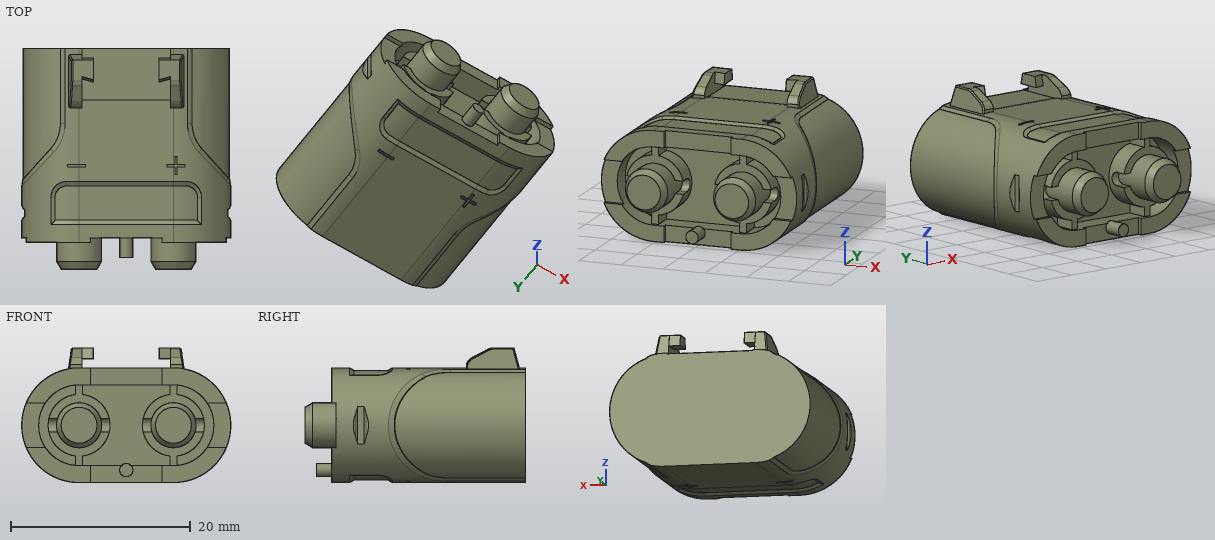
import cadquery as cq
import math

TOLERANCE = 0.005
BEVEL_SHARE = 0.95
RIB_OVERLAP = 0.12

HALF_SPACING = 5.252
BODY_RADIUS = 6.4
BODY_LENGTH = 21.6

NOTCH_DEPTH = 0.5
TOP_NOTCH_HALF_WIDTH = 3.99
SIDE_NOTCH_HALF_HEIGHT = 2.48
CAVITY_RADIUS = 4.5
CAVITY_DEPTH = 3.0

SLEEVE_RADIUS = 3.45
RIB_WIDTH = 0.8
SLOT_WIDTH = 1.53
SLOT_DEPTH = 1.97
PIN_RADIUS = 2.5
PIN_REACH = 3.0
PIN_TIP_LENGTH = 0.89
PIN_TIP_INSET = 0.52
POST_RADIUS = 0.75
POST_REACH = 1.7
POST_Z = -5.0

GRIP_DEPTH = 0.17
GRIP_BEVEL = 0.55
GRIP_FLOOR_X = 7.33
GRIP_CORNER_Y = 11.64
GRIP_SLANT = 48
GRIP_BEND_RADIUS = 4.18

PANEL_DEPTH = 0.3
PANEL_HALF_WIDTH = 7.95
PANEL_FRONT_Y = 2.45
PANEL_BACK_Y = 6.27
PANEL_CORNER_RADIUS = 1.3
PANEL_BEVEL = 0.5

GROOVE_Y = 3.25
GROOVE_DEPTH = 0.35
GROOVE_FLOOR_WIDTH = 0.71
GROOVE_SHOULDER_DEPTH = 0.12
GROOVE_SHOULDER_WIDTH = 1.18
GROOVE_MOUTH_WIDTH = 1.7

MARK_X = 5.54
MARK_Y = 8.54
MARK_LENGTH = 2.0
MARK_WIDTH = 0.27
MARK_DEPTH = 0.1

LATCH_TOP_Z = 8.6
LATCH_INNER_X = 4.92
LATCH_ROOT_X = 6.5
LATCH_TOP_X = 6.1
LATCH_ROOT_Z = 5.9
LATCH_BEVEL = 0.15
LATCH_BACK_Y = 20.89
LATCH_TOP_BACK_Y = 20.3
LATCH_TOP_FRONT_Y = 17.69
LATCH_NOSE_Y = 15.65
LATCH_NOSE_Z = 7.55
LATCH_NOSE_MIDDLE = (15.25, 7.23)
LATCH_TOE_Z = 6.75
LATCH_FRONT_Y = 14.98
LATCH_BEND_RADIUS = 1.23
HOOK_TIP_X = 3.67
HOOK_HEIGHT = 1.23
HOOK_FRONT_Y = 17.84
HOOK_ROOT_Y = 18.18
HOOK_BACK_Y = 20.55
HOOK_LEAN = 0.27

STEP_Y = 15.87
STEP_DEPTH = 0.1


def stadium(radius, y_start, y_end):
    """Solid with a stadium section around both pin axes, from y_start to y_end."""
    return (
        cq.Workplane("XZ", origin=(0, y_start, 0))
        .slot2D(2 * (HALF_SPACING + radius), 2 * radius)
        .extrude(y_start - y_end)
    )


def rod(x, z, radius, y_start, y_end):
    return cq.Workplane("XZ", origin=(x, y_start, z)).circle(radius).extrude(y_start - y_end)


def box(x_size, y_start, y_end, z_size):
    return cq.Workplane("XY").box(x_size, y_end - y_start, z_size).translate((0, (y_start + y_end) / 2, 0))


def both_sides(solid):
    return solid.union(solid.mirror("YZ"))


def skin(depth):
    """Shell just under the housing surface, reaching well outside it."""
    outside = box(4 * BODY_RADIUS + 2 * HALF_SPACING, -0.25, BODY_LENGTH + 0.25, 4 * BODY_RADIUS)
    return outside.cut(stadium(BODY_RADIUS - depth, -0.5, BODY_LENGTH + 0.5))


def bevel_rim(solid, in_recess, width, depth):
    """Bevel the rim of a surface recess: width across the surface, depth down its wall.

    The rim is made of the edges on the housing surface whose centres satisfy in_recess.
    """
    def on_surface(edge):
        point = edge.positionAt(0.3)
        from_straight = max(abs(point.x) - HALF_SPACING, 0)
        return abs(math.hypot(from_straight, point.z) - BODY_RADIUS) < TOLERANCE

    rim = [edge for edge in solid.edges().vals() if in_recess(edge.Center()) and on_surface(edge)]
    return solid.newObject(rim).chamfer(width, depth)


def grip_outline():
    """Right-hand grip floor seen from above: straight, a bend, then slanting out to the side."""
    slant = math.radians(GRIP_SLANT)
    tangent = GRIP_BEND_RADIUS * math.tan(math.radians(90 - GRIP_SLANT) / 2)
    bend_start = (GRIP_FLOOR_X, GRIP_CORNER_Y + tangent)
    bend_end = (GRIP_FLOOR_X + tangent * math.cos(slant), GRIP_CORNER_Y - tangent * math.sin(slant))
    far_x = HALF_SPACING + 1.5 * BODY_RADIUS
    far_y = GRIP_CORNER_Y - (far_x - GRIP_FLOOR_X) * math.tan(slant)
    return (
        cq.Workplane("XY", origin=(0, 0, -2 * BODY_RADIUS))
        .moveTo(GRIP_FLOOR_X, BODY_LENGTH + 0.25)
        .lineTo(*bend_start)
        .radiusArc(bend_end, -GRIP_BEND_RADIUS)
        .lineTo(far_x, far_y)
        .lineTo(far_x, BODY_LENGTH + 0.25)
        .close()
        .extrude(4 * BODY_RADIUS)
    )


def panel_outline():
    """Label panel floor on the top, with the two rear corners rounded."""
    length = PANEL_BACK_Y - PANEL_FRONT_Y
    return (
        cq.Workplane("XY")
        .box(2 * PANEL_HALF_WIDTH, length, 2 * BODY_RADIUS, centered=(True, False, False))
        .edges("|Z and >Y")
        .fillet(PANEL_CORNER_RADIUS)
        .translate((0, PANEL_FRONT_Y, 0))
    )


def groove():
    """Groove across the right-hand rounded side, its steep walls opening out at the mouth."""
    outline = [
        (-GROOVE_DEPTH, GROOVE_FLOOR_WIDTH / 2),
        (-GROOVE_SHOULDER_DEPTH, GROOVE_SHOULDER_WIDTH / 2),
        (0, GROOVE_MOUTH_WIDTH / 2),
        (0.25, GROOVE_MOUTH_WIDTH / 2),
    ]
    mirrored = [(x, -y) for x, y in reversed(outline)]
    return (
        cq.Workplane("XY", origin=(HALF_SPACING + BODY_RADIUS, GROOVE_Y, -BODY_RADIUS))
        .polyline(outline + mirrored)
        .close()
        .extrude(2 * BODY_RADIUS)
    )


def polarity_marks():
    """A minus on the left and a plus on the right, standing through the whole height."""
    height = 4 * BODY_RADIUS
    bars = cq.Workplane("XY").pushPoints([(-MARK_X, MARK_Y), (MARK_X, MARK_Y)])
    marks = bars.box(MARK_LENGTH, MARK_WIDTH, height)
    upright = cq.Workplane("XY").box(MARK_WIDTH, MARK_LENGTH, height)
    return marks.union(upright.translate((MARK_X, MARK_Y, 0)))


def contact():
    """Right-hand sleeve with its ribs, side slots and pin."""
    sleeve = rod(HALF_SPACING, 0, SLEEVE_RADIUS, NOTCH_DEPTH, CAVITY_DEPTH)
    rib = box(RIB_WIDTH, NOTCH_DEPTH, CAVITY_DEPTH, 2 * (CAVITY_RADIUS + RIB_OVERLAP))
    slot_reach = NOTCH_DEPTH + SLOT_DEPTH
    slot = cq.Workplane("YZ").slot2D(2 * slot_reach, SLOT_WIDTH).extrude(SLEEVE_RADIUS, both=True)
    pin = (
        rod(HALF_SPACING, 0, PIN_RADIUS, -PIN_REACH, CAVITY_DEPTH)
        .faces("<Y")
        .chamfer(PIN_TIP_LENGTH, PIN_TIP_INSET)
    )
    axis = (HALF_SPACING, 0, 0)
    return sleeve.union(rib.translate(axis)).cut(slot.translate(axis)).union(pin)


def latch_rib():
    """Right-hand latch rib: a rounded wedge whose outer face leans inwards and has bevelled edges."""
    wedge = (
        cq.Workplane("YZ", origin=(LATCH_INNER_X, 0, 0))
        .moveTo(LATCH_BACK_Y, LATCH_ROOT_Z)
        .lineTo(LATCH_BACK_Y, BODY_RADIUS)
        .lineTo(LATCH_TOP_BACK_Y, LATCH_TOP_Z)
        .lineTo(LATCH_TOP_FRONT_Y, LATCH_TOP_Z)
        .lineTo(LATCH_NOSE_Y, LATCH_NOSE_Z)
        .threePointArc(LATCH_NOSE_MIDDLE, (LATCH_FRONT_Y, LATCH_TOE_Z))
        .lineTo(LATCH_FRONT_Y, LATCH_ROOT_Z)
        .close()
        .extrude(LATCH_ROOT_X - LATCH_INNER_X)
    )
    bend = cq.selectors.NearestToPointSelector((LATCH_INNER_X + 0.25, LATCH_TOP_FRONT_Y, LATCH_TOP_Z))
    wedge = wedge.edges("|X").edges(bend).fillet(LATCH_BEND_RADIUS)
    lean = (
        cq.Workplane("XZ", origin=(0, BODY_LENGTH, 0))
        .polyline([
            (LATCH_INNER_X, LATCH_ROOT_Z),
            (LATCH_ROOT_X, LATCH_ROOT_Z),
            (LATCH_TOP_X, LATCH_TOP_Z),
            (LATCH_INNER_X, LATCH_TOP_Z),
        ])
        .close()
        .extrude(BODY_LENGTH)
    )
    return wedge.intersect(lean).faces(">X").edges("not <Z").chamfer(LATCH_BEVEL)


def latch_hook():
    """Right-hand hook, from the rib towards the middle, narrowing upwards."""
    def outline(inset):
        return [
            (LATCH_INNER_X, HOOK_BACK_Y - inset),
            (HOOK_TIP_X, HOOK_BACK_Y - inset),
            (HOOK_TIP_X, HOOK_FRONT_Y + inset),
            (LATCH_INNER_X, HOOK_ROOT_Y + inset),
        ]

    return (
        cq.Workplane("XY", origin=(0, 0, LATCH_TOP_Z - HOOK_HEIGHT))
        .polyline(outline(0))
        .close()
        .workplane(offset=HOOK_HEIGHT)
        .polyline(outline(HOOK_LEAN))
        .close()
        .loft(ruled=True)
    )


body = stadium(BODY_RADIUS, 0, BODY_LENGTH)
body = body.cut(both_sides(grip_outline().intersect(skin(GRIP_DEPTH))))
for side in (1, -1):
    body = bevel_rim(
        body,
        lambda centre: side * centre.x > GRIP_FLOOR_X - TOLERANCE and 0.25 < centre.y < BODY_LENGTH - 0.25,
        GRIP_BEVEL,
        BEVEL_SHARE * GRIP_DEPTH,
    )

for side in (1, -1):
    panel = panel_outline().intersect(skin(PANEL_DEPTH))
    body = body.cut(panel if side > 0 else panel.mirror("XY"))
    body = bevel_rim(
        body,
        lambda centre: (
            side * centre.z > 0
            and abs(centre.x) < PANEL_HALF_WIDTH + TOLERANCE
            and PANEL_FRONT_Y - TOLERANCE < centre.y < PANEL_BACK_Y + TOLERANCE
        ),
        PANEL_BEVEL,
        BEVEL_SHARE * PANEL_DEPTH,
    )

body = body.cut(both_sides(groove()))
body = body.cut(polarity_marks().intersect(skin(MARK_DEPTH)))

far = 2 * (HALF_SPACING + BODY_RADIUS)
body = body.cut(box(2 * TOP_NOTCH_HALF_WIDTH, 0, NOTCH_DEPTH, far))
body = body.cut(box(far, 0, NOTCH_DEPTH, 2 * SIDE_NOTCH_HALF_HEIGHT))
body = body.cut(stadium(CAVITY_RADIUS, 0, CAVITY_DEPTH))

step = box(2 * LATCH_INNER_X, STEP_Y, BODY_LENGTH, 2 * STEP_DEPTH)
body = body.cut(step.translate((0, 0, BODY_RADIUS)))

body = body.union(both_sides(contact()))
body = body.union(rod(0, POST_Z, POST_RADIUS, -POST_REACH, NOTCH_DEPTH))
result = body.union(both_sides(latch_rib().union(latch_hook())))